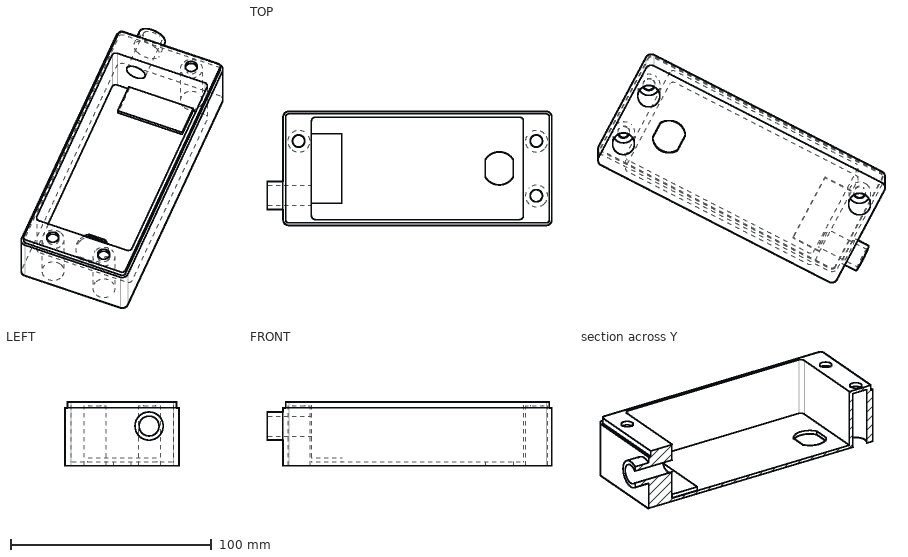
import cadquery as cq

overall_length = 142.0
body_width = 57.0
overall_height = 32.0
spigot_length = 8.0
body_length = overall_length - spigot_length
body_corner_radius = 3.0

lip_height = 3.0
lip_inset = 1.3
base_height = overall_height - lip_height

end_wall = 14.2
side_wall = 3.0
floor_thickness = 2.0
cavity_corner_radius = 2.0
cavity_length = body_length - 2 * end_wall
cavity_width = body_width - 2 * side_wall

pad_length = 15.0
pad_width = 34.5
pad_height = 2.0

screw_diameter = 6.0
head_pocket_diameter = 11.0
screw_seat_thickness = 2.0
screw_end_distance = 7.8
screw_side_offset = 13.6

opening_diameter = 16.3
opening_across_flats = 13.9
opening_end_distance = 26.3

spigot_diameter = 14.0
bore_diameter = 10.0
spigot_y = -13.5
spigot_z = 19.9

left_end = -body_length / 2
right_end = body_length / 2


def rounded_block(length, width, height, radius, bottom):
    """Block centred on X and Y with rounded vertical edges."""
    block = cq.Workplane("XY").workplane(offset=bottom).rect(length, width).extrude(height)
    return block.edges("|Z").fillet(radius)


def cylinder_along_x(diameter, start, length):
    """Cylinder on the spigot axis running in +X from start."""
    return (
        cq.Workplane("YZ", origin=(start, spigot_y, spigot_z))
        .circle(diameter / 2)
        .extrude(length)
    )


def double_d_cutter():
    """Round cutter trimmed by two flats facing -X and +X."""
    centre_x = right_end - opening_end_distance
    centre = cq.Workplane("XY").center(centre_x, 0)
    round_cutter = centre.circle(opening_diameter / 2).extrude(floor_thickness)
    flats = centre.rect(opening_across_flats, opening_diameter).extrude(floor_thickness)
    return round_cutter.intersect(flats)


base = rounded_block(body_length, body_width, base_height, body_corner_radius, 0)
lip = rounded_block(
    body_length - 2 * lip_inset,
    body_width - 2 * lip_inset,
    overall_height,
    body_corner_radius - lip_inset,
    0,
)
body = base.union(lip)

cavity = rounded_block(
    cavity_length,
    cavity_width,
    overall_height - floor_thickness,
    cavity_corner_radius,
    floor_thickness,
)
pad = (
    cq.Workplane("XY")
    .workplane(offset=floor_thickness)
    .center(left_end + end_wall + pad_length / 2, 0)
    .rect(pad_length, pad_width)
    .extrude(pad_height)
)
body = body.cut(cavity).union(pad).cut(double_d_cutter())

screw_places = [
    (left_end + screw_end_distance, screw_side_offset),
    (right_end - screw_end_distance, screw_side_offset),
    (right_end - screw_end_distance, -screw_side_offset),
]
screw_points = cq.Workplane("XY").pushPoints(screw_places)
screw_holes = screw_points.circle(screw_diameter / 2).extrude(overall_height)
head_pockets = screw_points.circle(head_pocket_diameter / 2).extrude(overall_height - screw_seat_thickness)
body = body.cut(screw_holes).cut(head_pockets)

spigot_tip = left_end - spigot_length
body = body.union(cylinder_along_x(spigot_diameter, spigot_tip, spigot_length))
result = body.cut(cylinder_along_x(bore_diameter, spigot_tip, spigot_length + end_wall))